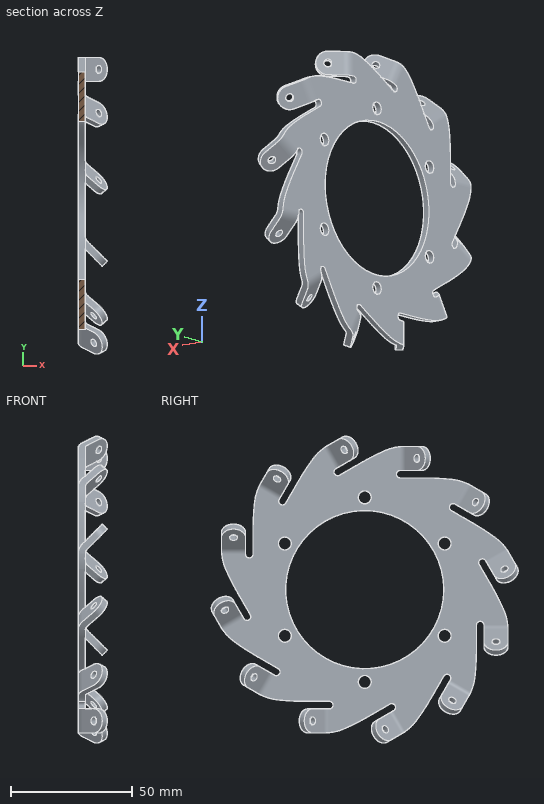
import cadquery as cq
import math

sheet_thickness = 3.0
bore_diameter = 65.0
bolt_hole_diameter = 5.2
bolt_circle_radius = 38.0
bolt_hole_count = 6

tooth_count = 12
tooth_pitch = 360.0 / tooth_count
slot_floor = 46.05
slot_width = 3.0
nose_radius = 20.0
back_radius = 100.0
nose_start_y = 16.5

tab_width = 10.0
tab_length = 11.61
tab_hole_diameter = 3.2
bend_y = 14.6
bend_angle = 45.0
bend_inner_radius = 3.0

slot_middle_z = slot_floor + slot_width / 2
tab_inner_z = slot_floor + slot_width
tab_outer_z = tab_inner_z + tab_width
tab_end_radius = tab_width / 2
bend_outer_radius = bend_inner_radius + sheet_thickness
bend_axis_x = bend_outer_radius


def turned(point, angle):
    """Point (y, z) turned about the origin by an angle in radians, from +Z towards -Y."""
    y, z = point
    return (y * math.cos(angle) - z * math.sin(angle), y * math.sin(angle) + z * math.cos(angle))


def point_on_arc(center, radius, angle):
    """Point of an arc, at an angle in radians measured from +Z towards -Y."""
    dy, dz = turned((0, radius), angle)
    return (center[0] + dy, center[1] + dz)


pitch_angle = math.radians(tooth_pitch)
nose_center = (nose_start_y, tab_outer_z - nose_radius)
nose_center_height = turned(nose_center, -pitch_angle)[1]
arc_depth = nose_center_height - (slot_floor - back_radius)
join_angle = pitch_angle - math.acos(arc_depth / (back_radius - nose_radius))
back_center = point_on_arc(nose_center, nose_radius - back_radius, join_angle)
bend_edge_angle = math.asin((nose_start_y - bend_y) / nose_radius)


def nose_point(angle):
    return point_on_arc(nose_center, nose_radius, angle)


def back_point(angle):
    return point_on_arc(back_center, back_radius, angle)


def ring_plate():
    """Flat toothed plate with its bore and bolt holes; every tooth ends at its bend line."""
    outline = cq.Workplane("YZ").moveTo(bend_y, slot_floor)
    slot_end = (bend_y - slot_width / 2, slot_middle_z)
    for index in range(tooth_count):
        tooth_angle = index * pitch_angle

        def place(point):
            return turned(point, tooth_angle)

        outline = outline.threePointArc(place(slot_end), place((bend_y, tab_inner_z)))
        outline = outline.lineTo(*place(nose_point(bend_edge_angle)))
        outline = outline.threePointArc(
            place(nose_point((bend_edge_angle + join_angle) / 2)),
            place(nose_point(join_angle)),
        )
        outline = outline.threePointArc(
            place(back_point((join_angle + pitch_angle) / 2)),
            place(back_point(pitch_angle)),
        )
        if index < tooth_count - 1:
            outline = outline.lineTo(*turned((bend_y, slot_floor), tooth_angle + pitch_angle))
    plate = outline.close().extrude(sheet_thickness)

    bore = cq.Workplane("YZ").circle(bore_diameter / 2).extrude(sheet_thickness)
    bolt_holes = (
        cq.Workplane("YZ")
        .polarArray(bolt_circle_radius, 90, 360, bolt_hole_count)
        .circle(bolt_hole_diameter / 2)
        .extrude(sheet_thickness)
    )
    return plate.cut(bore).cut(bolt_holes)


def bend_point(radius, angle_degrees):
    """Point (x, y) of the bend, at an angle from the bend line."""
    angle = math.radians(angle_degrees)
    return (bend_axis_x - radius * math.cos(angle), bend_y + radius * math.sin(angle))


def bend():
    """Curved strip between the plate and the tab, trimmed by the tight arc of the tooth."""
    strip = (
        cq.Workplane("XY", origin=(0, 0, tab_inner_z))
        .moveTo(*bend_point(bend_outer_radius, 0))
        .threePointArc(
            bend_point(bend_outer_radius, bend_angle / 2),
            bend_point(bend_outer_radius, bend_angle),
        )
        .lineTo(*bend_point(bend_inner_radius, bend_angle))
        .threePointArc(
            bend_point(bend_inner_radius, bend_angle / 2),
            bend_point(bend_inner_radius, 0),
        )
        .close()
        .extrude(tab_width)
    )
    corner = (
        cq.Workplane("YZ")
        .moveTo(*nose_point(0))
        .lineTo(bend_y, tab_outer_z)
        .lineTo(*nose_point(bend_edge_angle))
        .threePointArc(nose_point(bend_edge_angle / 2), nose_point(0))
        .close()
        .extrude(bend_axis_x)
    )
    return strip.cut(corner)


def tab():
    """Straight tab with a round end and a hole concentric with it."""
    start_x, start_y = bend_point(bend_outer_radius, bend_angle)
    slope = math.radians(bend_angle)
    plane = cq.Plane(
        origin=(start_x, start_y, (tab_inner_z + tab_outer_z) / 2),
        xDir=(math.sin(slope), math.cos(slope), 0),
        normal=(math.cos(slope), -math.sin(slope), 0),
    )
    end_center = tab_length - tab_end_radius
    body = (
        cq.Workplane(plane)
        .moveTo(0, -tab_end_radius)
        .lineTo(end_center, -tab_end_radius)
        .threePointArc((tab_length, 0), (end_center, tab_end_radius))
        .lineTo(0, tab_end_radius)
        .close()
        .extrude(sheet_thickness)
    )
    hole = (
        cq.Workplane(plane)
        .center(end_center, 0)
        .circle(tab_hole_diameter / 2)
        .extrude(sheet_thickness)
    )
    return body.cut(hole)


bent_tab = bend().union(tab())
result = ring_plate()
for tooth in range(tooth_count):
    result = result.union(bent_tab.rotate((0, 0, 0), (1, 0, 0), tooth * tooth_pitch))